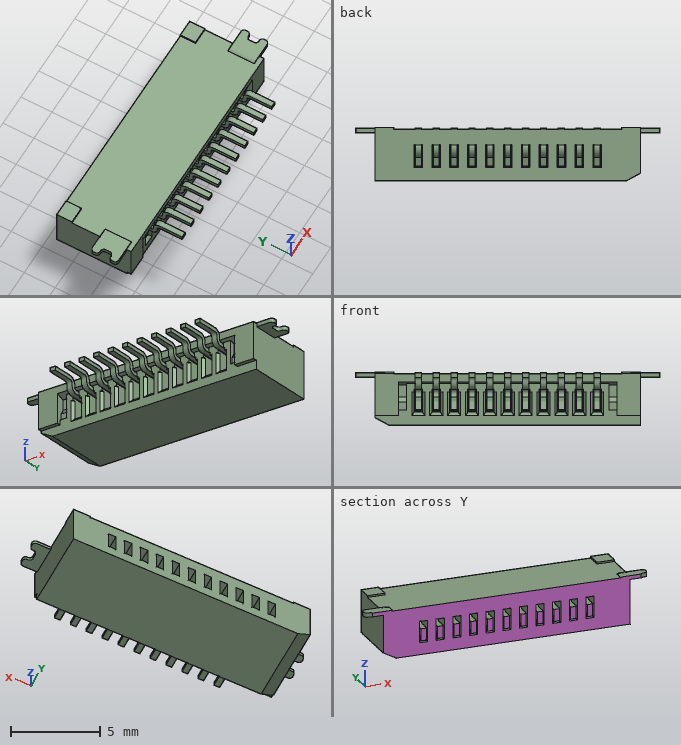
import cadquery as cq


overall_length = 17.0
body_length = 14.84
body_depth = 4.81
body_height = 2.89
key_chamfer_x = 0.78
key_chamfer_z = 0.42

pad_length = 1.05
pad_depth = 0.99
pad_height = 0.1

recess_depth = 0.25
recess_half_length = 6.12
cheek_bottom_z = 0.56
hood_front_z = 2.41
hood_slope = 0.3

pocket_width = 0.46
pocket_bottom_z = 0.87
pocket_ramp_low_z = 1.3
pocket_ramp_high_z = 1.6
pocket_lower_y = 0.37
pocket_upper_y = 0.56

sheet = 0.25
solder_height = 0.05
solder_z = body_height + solder_height

contact_count = 11
contact_row_length = 10.0
contact_pitch = contact_row_length / (contact_count - 1)
contact_width = 0.35
tail_length = 1.99
tail_z = solder_z - sheet / 2
riser_y = -0.25
tail_bend_radius = 0.32
arm_bend_radius = 0.25
arm_z = 2.12
loop_radius = 0.34
loop_y = 2.04
lip_y = 1.36
lip_lean = 0.14
lip_end_z = 0.82
lip_chamfer = 0.07

slot_width = 0.46
slot_bottom_z = 0.75
slot_top_z = 2.0
mouth_width = 0.73
mouth_bottom_z = 0.55
mouth_top_z = 1.85
mouth_depth = 0.2

tab_width = 1.7
tab_front_y = 0.3
tab_inset = 0.58
tab_length = (overall_length - body_length) / 2 + tab_inset
tab_ramp_length = 0.22
notch_width = 0.68
notch_depth = 0.46
tab_corner_radius = 0.2

contact_xs = [i * contact_pitch - contact_row_length / 2 for i in range(contact_count)]


def box(x0, x1, y0, y1, z0, z1):
    return cq.Workplane("XY").box(x1 - x0, y1 - y0, z1 - z0, centered=False).translate((x0, y0, z0))


def side_profile(points, x0, x1):
    """Extrude a closed (Y, Z) outline from x0 to x1."""
    return cq.Workplane("YZ", origin=(x0, 0, 0)).polyline(points).close().extrude(x1 - x0)


def mirrored(shape):
    """The shape together with its mirror image across the X = 0 plane."""
    return shape.union(shape.mirror("YZ"))


def hood_z(y):
    return hood_front_z - hood_slope * y


def make_housing():
    half = body_length / 2
    outline = [
        (-half, key_chamfer_z),
        (-half + key_chamfer_x, 0),
        (half, 0),
        (half, body_height),
        (-half, body_height),
    ]
    body = cq.Workplane("XZ").polyline(outline).close().extrude(-body_depth)
    pad = box(half - pad_length, half, body_depth - pad_depth, body_depth, body_height, body_height + pad_height)
    return body.union(mirrored(pad))


def make_recess():
    """Set-back front face: under the hood, and the full length below the cheeks."""
    opening = [
        (0, 0),
        (recess_depth, 0),
        (recess_depth, hood_z(recess_depth)),
        (0, hood_front_z),
    ]
    middle = side_profile(opening, -recess_half_length, recess_half_length)
    below_cheeks = box(-body_length / 2, body_length / 2, 0, recess_depth, 0, cheek_bottom_z)
    return middle.union(below_cheeks)


def make_pockets():
    outline = [
        (0, pocket_bottom_z),
        (pocket_lower_y, pocket_bottom_z),
        (pocket_lower_y, pocket_ramp_low_z),
        (pocket_upper_y, pocket_ramp_high_z),
        (pocket_upper_y, hood_z(pocket_upper_y)),
        (0, hood_front_z),
    ]
    return mirrored(side_profile(outline, recess_half_length - pocket_width, recess_half_length))


def make_slot():
    """Through slot with a mouth that tapers in from both sides and from below."""
    slot = box(-slot_width / 2, slot_width / 2, recess_depth, body_depth, slot_bottom_z, slot_top_z)
    mouth_height = mouth_top_z - mouth_bottom_z
    throat_height = mouth_top_z - slot_bottom_z
    mouth = (
        cq.Workplane("XZ", origin=(0, recess_depth, 0))
        .center(0, mouth_top_z - mouth_height / 2)
        .rect(mouth_width, mouth_height)
        .workplane(offset=-mouth_depth)
        .center(0, (mouth_height - throat_height) / 2)
        .rect(slot_width, throat_height)
        .loft(ruled=True)
    )
    return slot.union(mouth)


def make_contact():
    """Bent strip: tail, S-bend down to the arm, loop back and a lip leaning forward."""
    loop_bottom_z = arm_z - 2 * loop_radius
    path = (
        cq.Workplane("YZ")
        .moveTo(-tail_length, tail_z)
        .lineTo(riser_y - tail_bend_radius, tail_z)
        .tangentArcPoint((riser_y, tail_z - tail_bend_radius), relative=False)
        .lineTo(riser_y, arm_z + arm_bend_radius)
        .tangentArcPoint((riser_y + arm_bend_radius, arm_z), relative=False)
        .lineTo(loop_y, arm_z)
        .tangentArcPoint((loop_y, loop_bottom_z), relative=False)
        .lineTo(lip_y, loop_bottom_z)
    )
    section = cq.Workplane("XZ", origin=(0, -tail_length, tail_z)).rect(contact_width, sheet)
    strip = section.sweep(path)

    top_z = loop_bottom_z + sheet / 2
    knee_z = loop_bottom_z - sheet / 2
    toe_y = lip_y - lip_lean
    lip_outline = [
        (lip_y, top_z),
        (lip_y, knee_z),
        (toe_y, lip_end_z + lip_chamfer),
        (toe_y + lip_chamfer, lip_end_z),
        (toe_y + sheet, lip_end_z),
        (lip_y + sheet, knee_z),
        (lip_y + sheet, top_z),
    ]
    lip = side_profile(lip_outline, -contact_width / 2, contact_width / 2)
    return strip.union(lip)


def make_tabs():
    """Forked tabs whose inner edge curves down to the housing top."""
    outer_x = overall_length / 2
    inner_x = outer_x - tab_length
    plate = (
        cq.Workplane("XZ", origin=(0, tab_front_y, 0))
        .moveTo(inner_x, solder_z - sheet)
        .lineTo(outer_x, solder_z - sheet)
        .lineTo(outer_x, solder_z)
        .lineTo(inner_x + tab_ramp_length, solder_z)
        .tangentArcPoint((inner_x, body_height), relative=False)
        .close()
        .extrude(-tab_width)
    )
    notch_x = outer_x - notch_depth
    notch_y = tab_front_y + (tab_width - notch_width) / 2
    notch = box(notch_x, outer_x, notch_y, notch_y + notch_width, 0, solder_z)
    notch = notch.edges("|Z and <X").fillet(tab_corner_radius)
    fork = plate.cut(notch).faces(">X").edges("|Z").fillet(tab_corner_radius)
    return mirrored(fork)


housing = make_housing().cut(make_recess()).cut(make_pockets())
slot = make_slot()
contact = make_contact()
for x in contact_xs:
    housing = housing.cut(slot.translate((x, 0, 0)))
for x in contact_xs:
    housing = housing.union(contact.translate((x, 0, 0)))

result = housing.union(make_tabs())